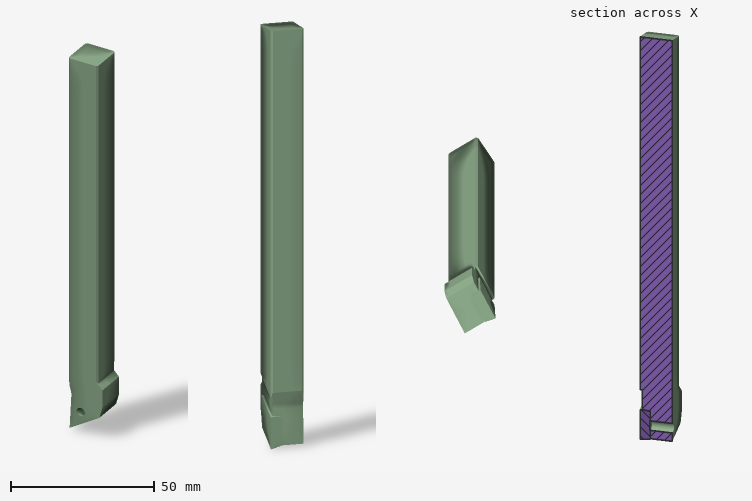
import cadquery as cq
import math


tool_length = 150.0
shank_width = 12.0
shank_height = 12.3
shank_chamfer = 0.65

head_width = 14.0
flare_start = 21.9
flank_end = 12.9
heel_x = 12.8
neck_start = 20.2
neck_angle = 15.0
neck_radius = 4.5
face_drop = 0.9
face_start = 18.0

tip_angle = 55.0
front_slope = 32.0
inscribed_diameter = 9.5
nose_radius = 0.1
insert_thickness = 3.9
clearance_angle = 7.0
seat_setback = 0.6
screw_hole_radius = 1.6

insert_top = shank_height
seat_level = insert_top - insert_thickness
inscribed_radius = inscribed_diameter / 2
half_tip = math.radians(tip_angle / 2)
side_slope = front_slope + tip_angle


def along(point, distance, angle):
    """Point reached from a start point in a direction given in degrees from X towards Z."""
    turn = math.radians(angle)
    return (point[0] + distance * math.cos(turn), point[1] + distance * math.sin(turn))


def crossing(point_a, angle_a, point_b, angle_b):
    """Crossing of two lines, each given by a point and an angle in degrees."""
    a = math.radians(angle_a)
    b = math.radians(angle_b)
    dx = point_b[0] - point_a[0]
    dz = point_b[1] - point_a[1]
    reach = (dx * math.sin(b) - dz * math.cos(b)) / math.sin(b - a)
    return along(point_a, reach, angle_a)


bisector = front_slope + tip_angle / 2
nose_centre = (nose_radius, nose_radius)
sharp_tip = along(nose_centre, -nose_radius / math.sin(half_tip), bisector)
insert_centre = along(sharp_tip, inscribed_radius / math.sin(half_tip), bisector)
insert_edge = inscribed_diameter / math.sin(math.radians(tip_angle))


def xz_plane(level):
    """XZ plane at a height in Y; extruding a positive distance goes down, towards -Y."""
    return cq.Workplane(cq.Plane(origin=(0, level, 0), xDir=(1, 0, 0), normal=(0, -1, 0)))


def make_insert():
    right_corner = along(sharp_tip, insert_edge, front_slope)
    left_corner = along(sharp_tip, insert_edge, side_slope)
    far_tip = along(right_corner, insert_edge, side_slope)
    blank = (
        xz_plane(insert_top)
        .polyline([sharp_tip, right_corner, far_tip, left_corner])
        .close()
        .extrude(insert_thickness, taper=clearance_angle)
    )
    slanted_edges = blank.edges("not #Y")
    acute_edges = slanted_edges.edges("<Z").add(slanted_edges.edges(">Z"))
    return blank.newObject(acute_edges.vals()).fillet(nose_radius)


def make_shank():
    return (
        cq.Workplane("XY", origin=(0, 0, flare_start))
        .rect(shank_width, shank_height, centered=False)
        .extrude(tool_length - flare_start)
    )


def make_head(neck_top, neck_bottom, apex):
    heel = crossing(apex, front_slope, (heel_x, 0), 90)
    flare_end = flare_start - (head_width - shank_width)
    head = (
        xz_plane(shank_height)
        .polyline([
            apex,
            heel,
            (head_width, flank_end),
            (head_width, flare_end),
            (shank_width, flare_start),
            (0, flare_start),
            neck_top,
            neck_bottom,
        ])
        .close()
        .extrude(shank_height)
    )
    at_neck = cq.selectors.NearestToPointSelector((neck_bottom[0], shank_height / 2, neck_bottom[1]))
    return head.edges(at_neck).fillet(neck_radius)


def make_face_relief():
    """Stock above the cutting face; its step runs parallel to the insert's front edge."""
    step_left = (0, face_start)
    step_right = crossing(step_left, front_slope, (head_width, 0), 90)
    return (
        xz_plane(shank_height)
        .polyline([(0, 0), (head_width, 0), step_right, step_left])
        .close()
        .extrude(face_drop)
    )


def make_screw_hole():
    return (
        xz_plane(seat_level)
        .center(*insert_centre)
        .circle(screw_hole_radius)
        .extrude(seat_level)
    )


def make_holder(insert):
    apex = along(sharp_tip, seat_setback / math.sin(half_tip), bisector)
    neck_top = (0, neck_start)
    neck_bottom = crossing(apex, side_slope, neck_top, neck_angle - 90)
    margin = shank_chamfer
    shank_only = cq.selectors.BoxSelector(
        (-margin, -margin, flare_start),
        (shank_width + margin, shank_height + margin, tool_length),
    )
    return (
        make_head(neck_top, neck_bottom, apex)
        .union(make_shank())
        .edges("|Z")
        .edges(shank_only)
        .chamfer(shank_chamfer)
        .cut(make_face_relief())
        .cut(make_screw_hole())
        .cut(insert)
    )


insert = make_insert()
holder = make_holder(insert)
result = cq.Compound.makeCompound([holder.solids().val(), insert.solids().val()])